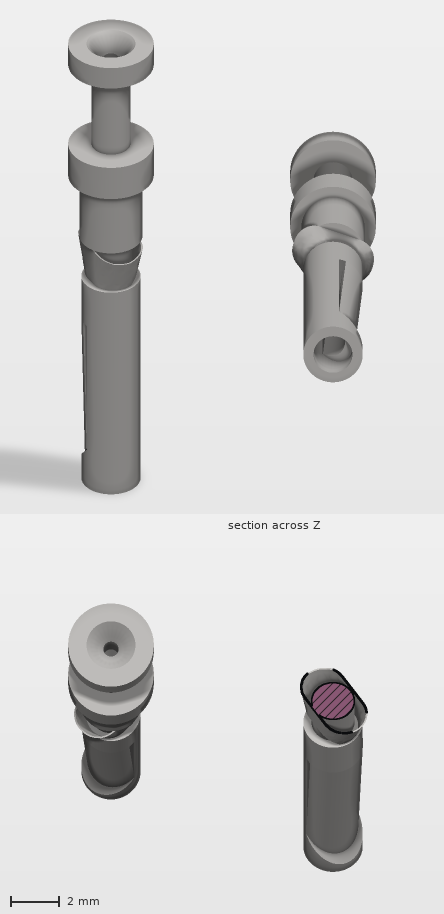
import cadquery as cq
import math

total_height = 21.5
head_diameter = 3.5
head_bottom = 20.5
neck_diameter = 1.6
flange_top = 16.55
flange_bottom = 15.0
body_diameter = 2.58
body_bottom = 12.0
stem_diameter = 1.76
sleeve_diameter = 2.43
sleeve_top = 10.0

countersink_diameter = 2.0
drill_diameter = 0.62
drill_depth = 2.0
countersink_angle = 90.0
drill_tip_angle = 118.0

bore_diameter = 1.6
window_top = 8.0
window_edge_x = 0.17
window_bottom_at_edge = 1.87
window_ledge_angle = 45.0
tongue_edge_x = -0.13
tongue_tilt = 2.7
tongue_tip_gap = 0.06

clip_wall = 0.06
clip_offset_y = -0.05
clip_foot = 10.06
clip_foot_half_flat = 0.24
clip_foot_radius = 0.92
clip_rim_half_flat = 0.75
clip_rim_radius = 0.95
clip_side_rim = 11.65
clip_front_rim = 11.74
clip_front_rim_start_y = -0.65
clip_back_rim = 11.95
clip_back_foot = 10.6
clip_back_foot_start_y = 0.39

sleeve_radius = sleeve_diameter / 2


def cylinder(diameter, bottom, top):
    """Cylinder on the Z axis between two heights."""
    return cq.Workplane("XY").workplane(offset=bottom).circle(diameter / 2).extrude(top - bottom)


def prism(plane, points):
    """Closed outline extruded well past the part on both sides of a plane."""
    return cq.Workplane(plane).polyline(points).close().extrude(head_diameter, both=True)


def stepped_shaft():
    steps = [
        (head_diameter, head_bottom, total_height),
        (neck_diameter, flange_top, head_bottom),
        (head_diameter, flange_bottom, flange_top),
        (body_diameter, body_bottom, flange_bottom),
        (stem_diameter, sleeve_top, body_bottom),
        (sleeve_diameter, 0, sleeve_top),
    ]
    shaft = cylinder(*steps[0])
    for step in steps[1:]:
        shaft = shaft.union(cylinder(*step))
    return shaft


def head_recess():
    """Countersink running into a blind drilled hole with a conical tip."""
    outer = countersink_diameter / 2
    inner = drill_diameter / 2
    countersink_depth = (outer - inner) / math.tan(math.radians(countersink_angle / 2))
    tip_depth = inner / math.tan(math.radians(drill_tip_angle / 2))
    profile = [
        (0, total_height),
        (outer, total_height),
        (inner, total_height - countersink_depth),
        (inner, total_height - drill_depth),
        (0, total_height - drill_depth - tip_depth),
    ]
    return cq.Workplane("XZ").polyline(profile).close().revolve(360, (0, 0, 0), (0, 1, 0))


def window():
    """Region left of the slot edge and above the sloped ledge."""
    far_x = -sleeve_diameter
    ledge_drop = (window_edge_x - far_x) * math.tan(math.radians(window_ledge_angle))
    return prism("XZ", [
        (window_edge_x, window_top),
        (window_edge_x, window_bottom_at_edge),
        (far_x, window_bottom_at_edge - ledge_drop),
        (far_x, window_top),
    ])


def tongue():
    """Part of the sleeve wall bent inwards about its upper outer edge."""
    wall = cylinder(sleeve_diameter, 0, window_top).cut(cylinder(bore_diameter, 0, window_top))
    strip = wall.intersect(prism("XZ", [
        (-sleeve_diameter, 0),
        (tongue_edge_x, 0),
        (tongue_edge_x, window_top),
        (-sleeve_diameter, window_top),
    ]))
    hinge_start = (-sleeve_radius, 0, window_top)
    hinge_end = (-sleeve_radius, 1, window_top)
    bent = strip.rotate(hinge_start, hinge_end, -tongue_tilt)
    raised_window = window().translate((0, 0, tongue_tip_gap))
    return bent.intersect(window()).intersect(raised_window)


def clip_body(inset):
    """Obround that widens along X from the foot up to the side rim, carried on to the back rim."""
    rise = (clip_back_rim - clip_foot) / (clip_side_rim - clip_foot)
    top_half_flat = clip_foot_half_flat + rise * (clip_rim_half_flat - clip_foot_half_flat)
    top_radius = clip_foot_radius + rise * (clip_rim_radius - clip_foot_radius)
    foot_radius = clip_foot_radius - inset
    upper_radius = top_radius - inset
    return (
        cq.Workplane("XY", origin=(0, clip_offset_y, clip_foot))
        .slot2D(2 * (clip_foot_half_flat + foot_radius), 2 * foot_radius)
        .workplane(offset=clip_back_rim - clip_foot)
        .slot2D(2 * (top_half_flat + upper_radius), 2 * upper_radius)
        .loft(ruled=True)
    )


def clip():
    """Hollow flared sheet with a level side rim and a back that rises at both ends."""
    sheet = clip_body(0).cut(clip_body(clip_wall))
    front_y = clip_offset_y - clip_rim_radius
    back_y = stem_diameter / 2
    return sheet.intersect(prism("YZ", [
        (-sleeve_radius, clip_foot),
        (clip_back_foot_start_y, clip_foot),
        (back_y, clip_back_foot),
        (sleeve_radius, clip_back_foot),
        (sleeve_radius, clip_back_rim),
        (back_y, clip_back_rim),
        (0, clip_side_rim),
        (clip_front_rim_start_y, clip_side_rim),
        (front_y, clip_front_rim),
        (-sleeve_radius, clip_front_rim),
    ]))


shaft = stepped_shaft().cut(head_recess())
socket = cylinder(bore_diameter, 0, window_top)
result = shaft.cut(socket).cut(window()).union(tongue()).union(clip())